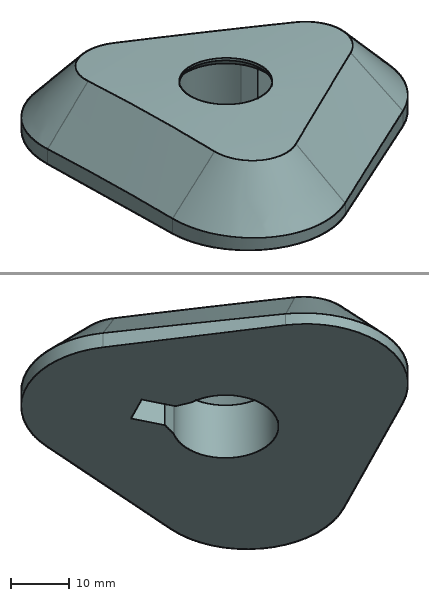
import cadquery as cq
import math

width = 67.0
base_radius = 17.5
base_spacing = width - 2 * base_radius
base_rise = base_spacing * math.sqrt(3) / 2
depth = base_rise + 2 * base_radius

top_radius = 8.25
top_spacing = 32.4
top_rise = 27.2

height = 13.0
crown_radius = 448.9
rim_height = 3.2
rim_crown_radius = 589.6

bore_y = base_rise / 3 - base_rise / 2
mouth_radius = 8.0
mouth_depth = 0.55
socket_radius = 9.1
flare_depth = 1.3
socket_height = height - mouth_depth - flare_depth

slot_width = 5.75
slot_entry_width = 9.65
slot_entry_y = 7.7
slot_neck_y = 10.0
slot_end_y = 16.1


def rounded_triangle(spacing, rise, radius):
    """Closed outline of a rounded triangle; spacing and rise locate the centres of its corners."""
    side_turn = math.atan2(spacing / 2, rise)
    corners = [
        (spacing / 2, -rise / 2, -math.pi / 2, side_turn),
        (0, rise / 2, side_turn, math.pi - side_turn),
        (-spacing / 2, -rise / 2, math.pi - side_turn, math.pi * 3 / 2),
    ]
    outline = cq.Workplane("XY").moveTo(-spacing / 2, -rise / 2 - radius)
    for x, y, first, last in corners:
        start, middle, end = [
            (x + radius * math.cos(turn), y + radius * math.sin(turn))
            for turn in (first, (first + last) / 2, last)
        ]
        outline = outline.lineTo(*start).threePointArc(middle, end)
    return outline.close()


def crowned_prism(outline, ridge_height, radius):
    """Upright prism under a large cylinder that runs along Y and peaks at the ridge height."""
    cylinder = (
        cq.Workplane("XZ", origin=(0, depth, ridge_height - radius))
        .circle(radius)
        .extrude(2 * depth)
    )
    return outline.extrude(ridge_height).intersect(cylinder)


def edges_around(face):
    """Outer edges of a face, ordered by their direction from the origin."""

    def direction(edge):
        middle = edge.positionAt(0.5)
        return math.atan2(middle.y, middle.x)

    return sorted(face.outerWire().Edges(), key=direction)


def bevelled_body():
    """Crowned base joined to the smaller crowned top by a straight-ruled bevel."""
    base = crowned_prism(rounded_triangle(base_spacing, base_rise, base_radius), rim_height, rim_crown_radius)
    top = crowned_prism(rounded_triangle(top_spacing, top_rise, top_radius), height, crown_radius)
    rim_face = base.faces(">Z").val()
    crown_face = top.faces(">Z").val()
    bevels = [
        cq.Face.makeRuledSurface(rim_edge, crown_edge)
        for rim_edge, crown_edge in zip(edges_around(rim_face), edges_around(crown_face))
    ]
    walls = [face for face in base.faces().vals() if not face.isSame(rim_face)]
    return cq.Solid.makeSolid(cq.Shell.makeShell(walls + bevels + [crown_face]))


def stepped_bore():
    """Turned cutter for the socket, the flare and the mouth, centred on the Z axis."""
    profile = [
        (0, 0),
        (socket_radius, 0),
        (socket_radius, socket_height),
        (mouth_radius, height - mouth_depth),
        (mouth_radius, height),
        (0, height),
    ]
    return cq.Workplane("XZ").polyline(profile).close().revolve(360, (0, 0, 0), (0, 1, 0))


def socket_slot():
    """Cutter for the slot beside the socket, open at the underside."""
    half_outline = [
        (0, 0),
        (slot_entry_width / 2, slot_entry_y),
        (slot_width / 2, slot_neck_y),
        (slot_width / 2, slot_end_y),
        (0, slot_end_y),
    ]
    half = cq.Workplane("XY").polyline(half_outline).close().extrude(socket_height)
    return half.union(half.mirror("YZ"))


opening = stepped_bore().union(socket_slot()).translate((0, bore_y, 0))
result = cq.Workplane(bevelled_body()).cut(opening).solids()